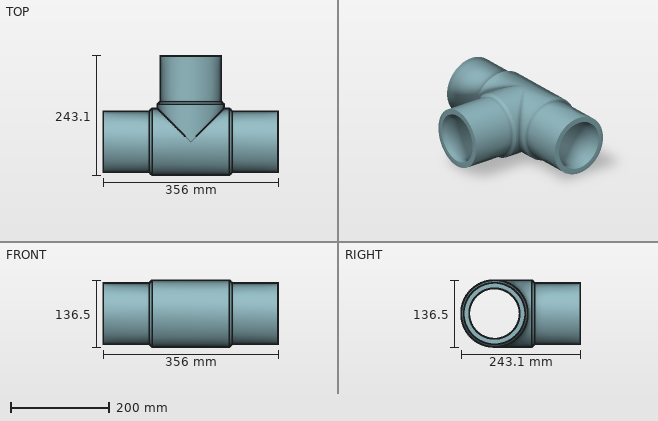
import cadquery as cq

run_length = 356.0
branch_reach = 174.8
pipe_diameter = 125.0
bore_diameter = 102.0
body_diameter = 136.5
run_body_reach = 84.5
branch_body_reach = 82.0

run_reach = run_length / 2
bevel = (body_diameter - pipe_diameter) / 2


def cylinder_on(plane, diameter, start, end):
    """Cylinder along the plane normal between two distances from the tee centre."""
    return (
        cq.Workplane(plane)
        .workplane(offset=start)
        .circle(diameter / 2)
        .extrude(end - start)
    )


run_plane = cq.Plane.YZ()
branch_plane = cq.Plane(origin=(0, 0, 0), xDir=(1, 0, 0), normal=(0, 1, 0))

run_pipe = cylinder_on(run_plane, pipe_diameter, -run_reach, run_reach)
run_body = cylinder_on(run_plane, body_diameter, -run_body_reach, run_body_reach)
run_body = run_body.faces("<X or >X").chamfer(bevel)

branch_pipe = cylinder_on(branch_plane, pipe_diameter, 0, branch_reach)
branch_body = cylinder_on(branch_plane, body_diameter, 0, branch_body_reach)
branch_body = branch_body.faces(">Y").chamfer(bevel)

outside = run_body.union(branch_body).union(run_pipe).union(branch_pipe)

run_bore = cylinder_on(run_plane, bore_diameter, -run_reach, run_reach)
branch_bore = cylinder_on(branch_plane, bore_diameter, 0, branch_reach)

result = outside.cut(run_bore).cut(branch_bore)